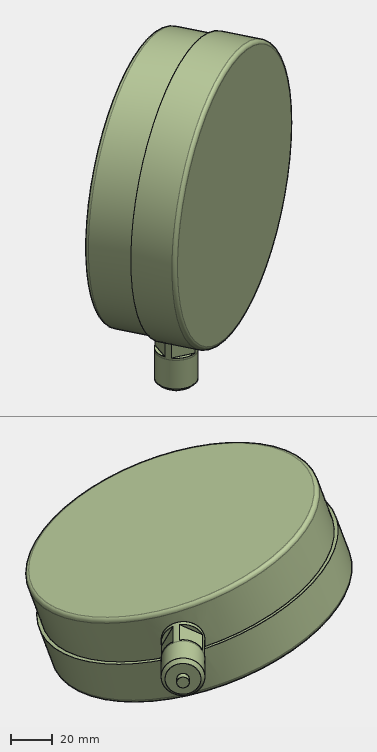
import cadquery as cq


case_diameter = 148.0
bezel_diameter = 152.0
gauge_depth = 48.0
case_depth = 24.8
bezel_depth = gauge_depth - case_depth
edge_radius = 2.0
back_to_stem_axis = 18.0

overall_height = 189.0
stem_diameter = 21.0
thread_chamfer = 1.9
thread_length = 17.8
pin_diameter = 6.0
pin_length = 3.4

across_flats = 17.0
flats_height = 14.2
collar_height = 1.1

pin_bottom = bezel_diameter / 2 - overall_height
thread_bottom = pin_bottom + pin_length
thread_top = thread_bottom + thread_length
flats_bottom = thread_top + collar_height
flats_top = flats_bottom + flats_height


def disc(diameter, start, depth):
    """Disc about the X axis, from X = start towards +X."""
    return cq.Workplane("YZ", origin=(start, 0, 0)).circle(diameter / 2).extrude(depth)


def rod(diameter, bottom, top):
    """Upright cylinder on the stem axis."""
    return cq.Workplane("XY", origin=(0, 0, bottom)).circle(diameter / 2).extrude(top - bottom)


def make_case():
    """Plain case closed by a slightly larger bezel, with rounded outer rims."""
    back = -back_to_stem_axis
    case = disc(case_diameter, back, case_depth).faces("<X").edges().fillet(edge_radius)
    bezel = disc(bezel_diameter, back + case_depth, bezel_depth).faces(">X").edges().fillet(edge_radius)
    return case.union(bezel)


def make_shank():
    """Round bar from the thread up into the case, with four wrench flats between X and Y."""
    section = cq.Workplane("XY", origin=(0, 0, flats_bottom))
    square = section.rect(across_flats, across_flats).extrude(flats_height).rotate((0, 0, 0), (0, 0, 1), 45)
    waste = rod(2 * stem_diameter, flats_bottom, flats_top).cut(square)
    return rod(stem_diameter, thread_top, 0).cut(waste)


def make_threaded_end():
    """Plain cylinder standing for the thread, chamfered at its tip, with a centring pin."""
    thread = rod(stem_diameter, thread_bottom, thread_top).faces("<Z").edges().chamfer(thread_chamfer)
    pin = rod(pin_diameter, pin_bottom, thread_bottom)
    return thread.union(pin)


result = make_case().union(make_shank()).union(make_threaded_end(), clean=False)